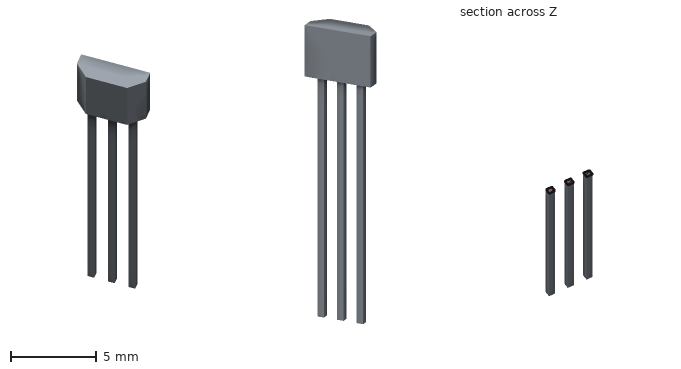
import cadquery as cq

total_height = 18.2
body_width = 4.3
body_depth = 1.6
body_height = 3.2

front_face_width = 2.57
side_depth = 0.76

lead_count = 3
lead_pitch = 1.27
lead_width = 0.42
lead_thickness = 0.4
lead_back_setback = 0.36

lead_length = total_height - body_height
back_y = body_depth / 2
front_y = -body_depth / 2
bevel_y = back_y - side_depth


def make_body():
    """Bevelled package standing on the plane Z = 0, centred in X and Y."""
    outline = [
        (-body_width / 2, back_y),
        (-body_width / 2, bevel_y),
        (-front_face_width / 2, front_y),
        (front_face_width / 2, front_y),
        (body_width / 2, bevel_y),
        (body_width / 2, back_y),
    ]
    return cq.Workplane("XY").polyline(outline).close().extrude(body_height)


def make_lead(x):
    """Straight rectangular lead hanging from the underside of the body."""
    lead_y = back_y - lead_back_setback - lead_thickness / 2
    return (
        cq.Workplane("XY")
        .center(x, lead_y)
        .rect(lead_width, lead_thickness)
        .extrude(-lead_length)
    )


result = make_body()
for index in range(lead_count):
    lead_x = (index - (lead_count - 1) / 2) * lead_pitch
    result = result.union(make_lead(lead_x))